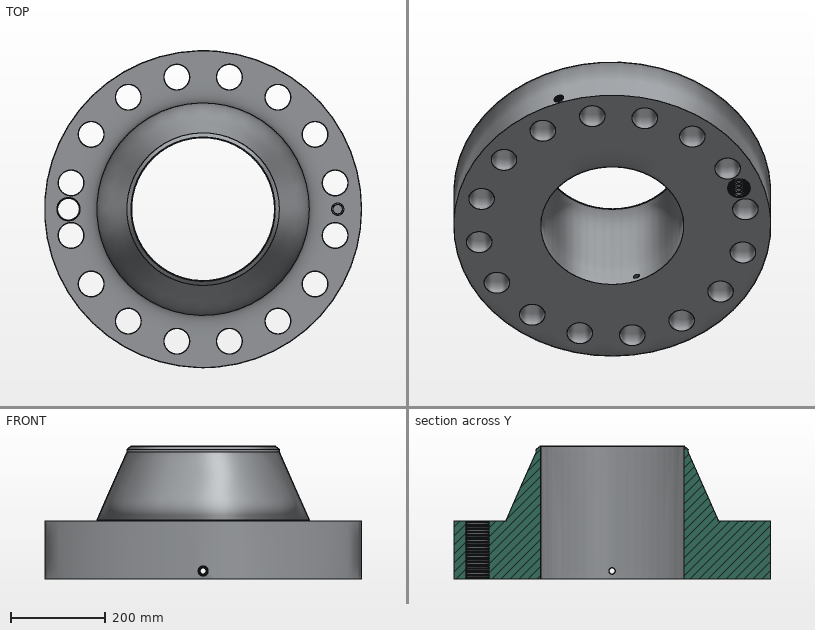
import cadquery as cq
import math

FLANGE_DIAMETER = 673.1
FLANGE_THICKNESS = 124.0
TOTAL_HEIGHT = 282.45

HUB_DIAMETER = 451.0
HUB_FOOT_HEIGHT = 2.0
NECK_DIAMETER = 323.85
NECK_LAND_HEIGHT = 6.0
BORE_DIAMETER = 303.2
WELD_LAND_WIDTH = 1.6
WELD_BEVEL_ANGLE = 37.5

BOLT_COUNT = 16
BOLT_CIRCLE_DIAMETER = 571.5
BOLT_HOLE_DIAMETER = 54.0

JACK_THREAD_MAJOR = 49.5
JACK_THREAD_MINOR = 46.0
JACK_THREAD_PITCH = 5.0
JACK_SEAT_OUTER_DIAMETER = 26.0
JACK_SEAT_INNER_DIAMETER = 20.0
JACK_SEAT_DEPTH = 1.0

TAP_HEIGHT = 17.5
TAP_THREAD_MAJOR = 21.3
TAP_THREAD_MINOR = 18.6
TAP_THREAD_PITCH = 1.814
TAP_THREAD_COUNT = 11
TAP_DRILL_DIAMETER = 13.0

bolt_circle_radius = BOLT_CIRCLE_DIAMETER / 2
flange_radius = FLANGE_DIAMETER / 2


def flange_and_neck():
    """Revolve the flange disc, the conical hub and the bevelled weld end."""
    hub_radius = HUB_DIAMETER / 2
    neck_radius = NECK_DIAMETER / 2
    bore_radius = BORE_DIAMETER / 2
    weld_land_radius = bore_radius + WELD_LAND_WIDTH
    bevel_height = (neck_radius - weld_land_radius) * math.tan(math.radians(WELD_BEVEL_ANGLE))
    bevel_base = TOTAL_HEIGHT - bevel_height
    return (
        cq.Workplane("XZ")
        .moveTo(bore_radius, 0)
        .lineTo(flange_radius, 0)
        .lineTo(flange_radius, FLANGE_THICKNESS)
        .lineTo(hub_radius, FLANGE_THICKNESS)
        .lineTo(hub_radius, FLANGE_THICKNESS + HUB_FOOT_HEIGHT)
        .lineTo(neck_radius, bevel_base - NECK_LAND_HEIGHT)
        .lineTo(neck_radius, bevel_base)
        .lineTo(weld_land_radius, TOTAL_HEIGHT)
        .lineTo(bore_radius, TOTAL_HEIGHT)
        .close()
        .revolve(360, (0, 0, 0), (0, 1, 0))
    )


def bolt_holes():
    half_pitch = 180 / BOLT_COUNT
    return (
        cq.Workplane("XY")
        .polarArray(bolt_circle_radius, half_pitch, 360, BOLT_COUNT)
        .circle(BOLT_HOLE_DIAMETER / 2)
        .extrude(FLANGE_THICKNESS)
    )


def threaded_plug(major_diameter, minor_diameter, pitch, turns):
    """Plug along +Z from the origin whose V-shaped ridges cut a ring-grooved thread."""
    major_radius = major_diameter / 2
    minor_radius = minor_diameter / 2
    profile = cq.Workplane("XZ").moveTo(0, 0).lineTo(major_radius, 0)
    for turn in range(turns):
        profile = profile.lineTo(minor_radius, (turn + 0.5) * pitch)
        profile = profile.lineTo(major_radius, (turn + 1) * pitch)
    return profile.lineTo(0, turns * pitch).close().revolve(360, (0, 0, 0), (0, 1, 0))


def jack_screw_hole():
    """Thread through the full flange thickness, starting at the upper face."""
    turns = math.ceil(FLANGE_THICKNESS / JACK_THREAD_PITCH)
    plug = threaded_plug(JACK_THREAD_MAJOR, JACK_THREAD_MINOR, JACK_THREAD_PITCH, turns)
    return plug.rotate((0, 0, 0), (1, 0, 0), 180).translate((-bolt_circle_radius, 0, FLANGE_THICKNESS))


def jack_screw_seat():
    """Shallow ring groove in the upper face, opposite the jack screw hole."""
    return (
        cq.Workplane("XY", origin=(bolt_circle_radius, 0, FLANGE_THICKNESS - JACK_SEAT_DEPTH))
        .circle(JACK_SEAT_OUTER_DIAMETER / 2)
        .circle(JACK_SEAT_INNER_DIAMETER / 2)
        .extrude(JACK_SEAT_DEPTH)
    )


def pressure_tap():
    """Tap on the -Y side, entering at the rim and running in to the bore."""
    drill = cq.Workplane("XY").circle(TAP_DRILL_DIAMETER / 2).extrude(flange_radius)
    thread = threaded_plug(TAP_THREAD_MAJOR, TAP_THREAD_MINOR, TAP_THREAD_PITCH, TAP_THREAD_COUNT)
    along_y = drill.union(thread).rotate((0, 0, 0), (1, 0, 0), -90)
    return along_y.translate((0, -flange_radius, TAP_HEIGHT))


near_tap = pressure_tap()
far_tap = near_tap.mirror("XZ")

result = (
    flange_and_neck()
    .cut(bolt_holes())
    .cut(jack_screw_hole())
    .cut(jack_screw_seat())
    .cut(near_tap)
    .cut(far_tap)
)